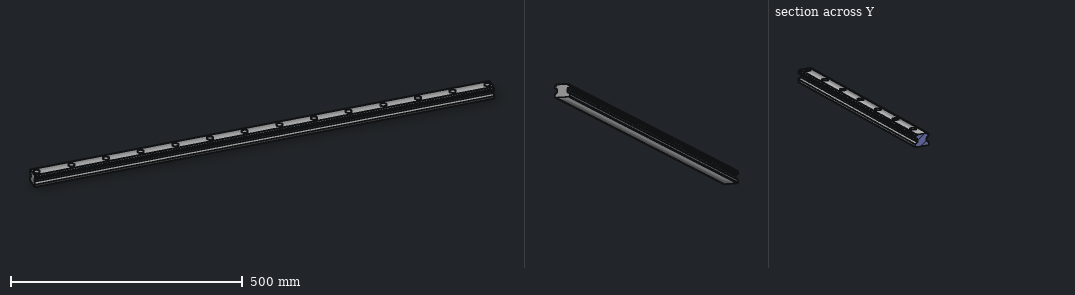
import cadquery as cq
import math

rail_width = 34.0
rail_length = 1060.0
rail_height = 29.0

half_width = rail_width / 2
half_top = 13.25
half_neck = 11.3

base_chamfer = 1.5
base_side_top = 7.5
neck_bottom = 11.4
neck_top = 16.25
head_side_bottom = 21.2
head_side_top = 25.35

groove_width = 4.1
groove_depth = 1.4

hole_pitch = 80.0
hole_count = 14
hole_diameter = 14.0
recess_depth = 0.5


def add_grooved_face(sketch, start, end):
    """Continue the outline from start to end with a ball groove at the middle of the face.

    The groove is sunk to the left of the direction of travel.
    """
    run = end[0] - start[0]
    rise = end[1] - start[1]
    face_length = math.hypot(run, rise)
    along = (run / face_length, rise / face_length)
    middle = ((start[0] + end[0]) / 2, (start[1] + end[1]) / 2)

    def face_point(distance, depth):
        x = middle[0] + along[0] * distance - along[1] * depth
        z = middle[1] + along[1] * distance + along[0] * depth
        return (x, z)

    groove_start = face_point(-groove_width / 2, 0)
    groove_bottom = face_point(0, groove_depth)
    groove_end = face_point(groove_width / 2, 0)
    return sketch.lineTo(*groove_start).threePointArc(groove_bottom, groove_end).lineTo(*end)


def make_rail():
    """Rail body: half cross-section extruded along Y, then mirrored about the centre plane."""
    neck_corner = (half_neck, neck_top)
    head_lower_corner = (half_width, head_side_bottom)
    head_upper_corner = (half_width, head_side_top)
    top_corner = (half_top, rail_height)

    sketch = (
        cq.Workplane("XZ")
        .lineTo(half_width - base_chamfer, 0)
        .lineTo(half_width, base_chamfer)
        .lineTo(half_width, base_side_top)
        .lineTo(half_neck, neck_bottom)
        .lineTo(*neck_corner)
    )
    sketch = add_grooved_face(sketch, neck_corner, head_lower_corner)
    sketch = sketch.lineTo(*head_upper_corner)
    sketch = add_grooved_face(sketch, head_upper_corner, top_corner)
    half_rail = sketch.lineTo(0, rail_height).close().extrude(rail_length / 2, both=True)
    return half_rail.union(half_rail.mirror("YZ")).clean()


def cut_hole_recesses(rail):
    """One centred row of shallow round recesses in the top face."""
    return (
        rail.faces(">Z")
        .workplane(origin=(0, 0, rail_height))
        .rarray(1, hole_pitch, 1, hole_count)
        .hole(hole_diameter, recess_depth)
    )


result = cut_hole_recesses(make_rail())